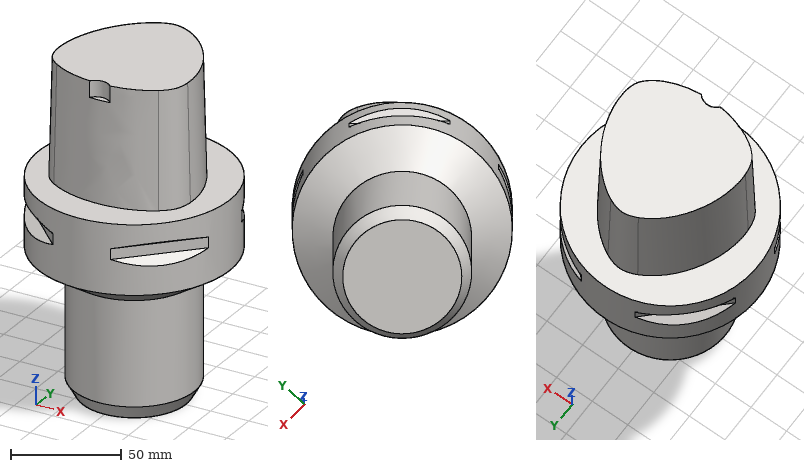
import cadquery as cq
import math

total_height = 170.0
flange_top = 109.6
flange_bottom = 73.8
shank_top = 61.9
chamfer_height = 7.8

flange_radius = 100.0 / 2
shank_radius = 63.0 / 2
chamfer_angle = 30.0

taper_base_radius = 35.9
taper_per_side = 1 / 40
lobe_offset = 2.9
lobe_half_angle = 26.0
points_per_edge = 13

key_depth = 8.3
key_radius = 6.8
key_innermost = 28.7

groove_center_height = 94.2
groove_floor_width = 5.5
groove_floor_distance = 44.4
groove_wall_angle = 30.0
groove_cutter_margin = 3.4


def revolved_body():
    foot_radius = shank_radius - chamfer_height * math.tan(math.radians(chamfer_angle))
    profile = [
        (0, 0),
        (foot_radius, 0),
        (shank_radius, chamfer_height),
        (shank_radius, shank_top),
        (flange_radius, flange_bottom),
        (flange_radius, flange_top),
        (0, flange_top),
    ]
    return cq.Workplane("XZ").polyline(profile).close().revolve(360, (0, 0), (0, 1))


def polygon_point(degrees, mean_radius, height):
    """Point on the three-lobed curve; a lobe tip lies on +Y at 90 degrees."""
    g = math.radians(degrees + 90)
    along = mean_radius * math.cos(g) + lobe_offset * (math.cos(4 * g) - 2 * math.cos(2 * g))
    across = mean_radius * math.sin(g) + lobe_offset * (math.sin(4 * g) + 2 * math.sin(2 * g))
    return cq.Vector(across, -along, height)


def polygon_wire(mean_radius, height):
    """Closed outline made of three lobe edges and three flank edges."""
    edges = []
    for lobe in (90, 210, 330):
        lobe_start = lobe - lobe_half_angle
        lobe_end = lobe + lobe_half_angle
        next_lobe_start = lobe_start + 120
        for start, end in ((lobe_start, lobe_end), (lobe_end, next_lobe_start)):
            step = (end - start) / (points_per_edge - 1)
            points = [
                polygon_point(start + i * step, mean_radius, height)
                for i in range(points_per_edge)
            ]
            edges.append(cq.Edge.makeSpline(points))
    return cq.Wire.assembleEdges(edges)


def polygon_taper():
    top_radius = taper_base_radius - (total_height - flange_top) * taper_per_side
    lower = polygon_wire(taper_base_radius, flange_top)
    upper = polygon_wire(top_radius, total_height)
    return cq.Workplane(cq.Solid.makeLoft([lower, upper], True))


def keyway():
    return (
        cq.Workplane("XY", origin=(0, -key_innermost - key_radius, total_height - key_depth))
        .circle(key_radius)
        .extrude(key_depth)
    )


def gripper_groove(angle):
    """Straight trapezoidal groove that widens outwards from its flat floor."""
    outer = flange_radius + groove_cutter_margin
    half_floor = groove_floor_width / 2
    wall_rise = (outer - groove_floor_distance) * math.tan(math.radians(groove_wall_angle))
    half_mouth = half_floor + wall_rise
    section = [
        (groove_floor_distance, groove_center_height - half_floor),
        (outer, groove_center_height - half_mouth),
        (outer, groove_center_height + half_mouth),
        (groove_floor_distance, groove_center_height + half_floor),
    ]
    cutter = cq.Workplane("XZ").polyline(section).close().extrude(flange_radius, both=True)
    return cutter.rotate((0, 0, 0), (0, 0, 1), angle)


result = revolved_body().union(polygon_taper()).cut(keyway())
for groove_angle in (45, 135, 225, 315):
    result = result.cut(gripper_groove(groove_angle))